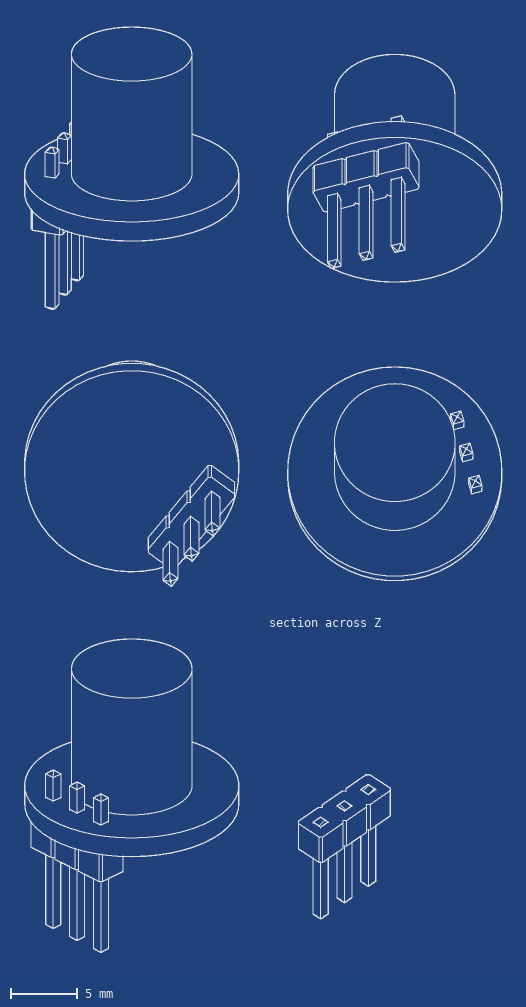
import cadquery as cq

total_height = 21.2
board_diameter = 16.0
board_thickness = 1.6
can_diameter = 9.0
can_height = 10.0
can_top = board_thickness + can_height

pin_count = 3
pitch = 2.55
header_x = -5.47
header_y = 0.23
header_gap = 0.06
corner_chamfer = 0.2
strip_height = pitch

pin_width = 0.8
tip_height = 0.3
tip_width = 0.13
pin_above_board = 2.3
pin_top = board_thickness + pin_above_board
pin_bottom = can_top - total_height
pin_length = pin_top - pin_bottom

pin_positions = [
    (header_x, header_y + (i - (pin_count - 1) / 2) * pitch) for i in range(pin_count)
]


def make_pin_tip(x, y, base_z, direction):
    """Blunt pyramid on a pin end; direction is +1 for up and -1 for down."""
    return (
        cq.Workplane("XY", origin=(x, y, base_z))
        .rect(pin_width, pin_width)
        .workplane(offset=direction * tip_height)
        .rect(tip_width, tip_width)
        .loft(ruled=True)
    )


def make_pin(x, y):
    shank_bottom = pin_bottom + tip_height
    shank_top = pin_top - tip_height
    shank = (
        cq.Workplane("XY", origin=(x, y, shank_bottom))
        .rect(pin_width, pin_width)
        .extrude(shank_top - shank_bottom)
    )
    upper_tip = make_pin_tip(x, y, shank_top, 1)
    lower_tip = make_pin_tip(x, y, shank_bottom, -1)
    return shank.union(upper_tip).union(lower_tip).solids()


def cut_pin_holes(body):
    """Cut a square through hole at every pin position."""
    holes = (
        cq.Workplane("XY", origin=(0, 0, pin_bottom))
        .pushPoints(pin_positions)
        .rect(pin_width, pin_width)
        .extrude(pin_length)
    )
    return body.cut(holes).solids()


def make_sensor_board():
    """Round board carrying the cylindrical can."""
    board = cq.Workplane("XY").circle(board_diameter / 2).extrude(board_thickness)
    can = (
        cq.Workplane("XY", origin=(0, 0, board_thickness))
        .circle(can_diameter / 2)
        .extrude(can_height)
    )
    return cut_pin_holes(board.union(can))


def make_header_strip():
    """Row of corner-chamfered blocks joined side by side, with V notches between them."""
    strip = cq.Workplane("XY")
    for x, y in pin_positions:
        block = (
            cq.Workplane("XY", origin=(x, y, -header_gap - strip_height))
            .rect(pitch, pitch)
            .extrude(strip_height)
            .edges("|Z")
            .chamfer(corner_chamfer)
        )
        strip = strip.union(block)
    return cut_pin_holes(strip)


sensor_board = make_sensor_board()
header_strip = make_header_strip()
pins = [make_pin(x, y) for x, y in pin_positions]

result = cq.Compound.makeCompound(
    [sensor_board.val(), header_strip.val(), *[pin.val() for pin in pins]]
)